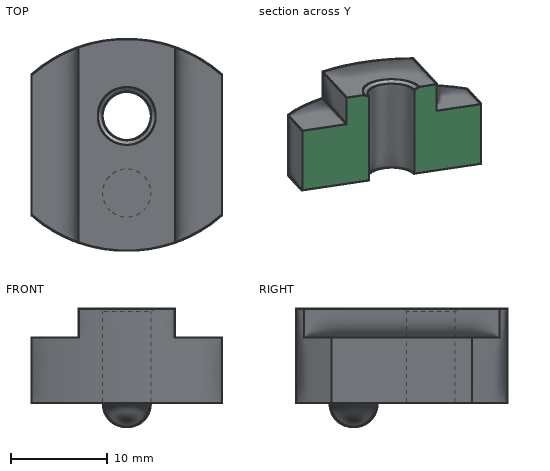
import cadquery as cq
import math

body_width = 19.8
body_length = 22.0
end_radius = 15.0
base_height = 6.8

rib_width = 10.0
rib_height = 3.0
total_height = base_height + rib_height

hole_diameter = 5.0
mouth_diameter = 6.0
mouth_angle = 120.0
hole_y = 3.0

ball_radius = 2.5
ball_y = -5.0


def make_body():
    """Full-height block with two flat sides and two arc ends."""
    half_width = body_width / 2
    half_length = body_length / 2
    arc_rise = end_radius - math.sqrt(end_radius**2 - half_width**2)
    corner_y = half_length - arc_rise
    return (
        cq.Workplane("XY")
        .moveTo(-half_width, -corner_y)
        .threePointArc((0, -half_length), (half_width, -corner_y))
        .lineTo(half_width, corner_y)
        .threePointArc((0, half_length), (-half_width, corner_y))
        .close()
        .extrude(total_height)
    )


def cut_shoulders(body):
    """Remove the material on both sides of the rib, above the base."""
    shoulder_width = (body_width - rib_width) / 2
    shoulder_x = (body_width + rib_width) / 4
    for side in (-1, 1):
        shoulder = (
            cq.Workplane("XY", origin=(side * shoulder_x, 0, base_height))
            .rect(shoulder_width, body_length)
            .extrude(rib_height)
        )
        body = body.cut(shoulder)
    return body


def make_hole():
    """Cutter for the through hole, including the cone at its top."""
    hole_radius = hole_diameter / 2
    mouth_radius = mouth_diameter / 2
    mouth_depth = (mouth_radius - hole_radius) / math.tan(math.radians(mouth_angle / 2))
    bore = cq.Workplane("XY").circle(hole_radius).extrude(total_height)
    mouth = cq.Solid.makeCone(
        hole_radius,
        mouth_radius,
        mouth_depth,
        pnt=cq.Vector(0, 0, total_height - mouth_depth),
    )
    return bore.union(cq.Workplane(mouth)).translate((0, hole_y, 0))


def make_ball():
    """Ball centred on the bottom face."""
    return cq.Workplane("XY", origin=(0, ball_y, 0)).sphere(ball_radius)


result = cut_shoulders(make_body()).cut(make_hole()).union(make_ball())